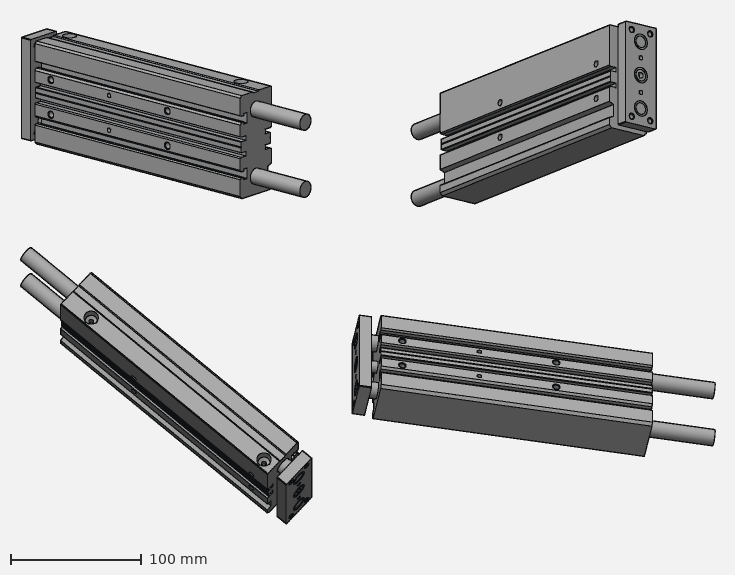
import cadquery as cq
import math


total_length = 279.0
plate_thickness = 9.5
housing_start = 16.5
housing_length = 211.5

housing_width = 36.0
housing_height = 83.0
half_width = housing_width / 2
half_height = housing_height / 2
front_top_chamfer = 1.7
back_top_chamfer = 0.7
bottom_chamfer = 2.2

t_slot_inner_edge = 19.8
t_slot_mouth = 5.0
t_slot_width = 8.5
t_slot_lip = 4.5
t_slot_depth = 7.8
lip_chamfer_depth = 1.7
inner_lip_chamfer = 1.7
outer_lip_chamfer = 0.8

sensor_pitch = 12.5
sensor_offset = sensor_pitch / 2
sensor_width = 3.5
sensor_depth = 6.7
sensor_chamfer = 0.7
sensor_chamfer_depth = 1.7
land_recess = 0.98
mark_width = 0.8
mark_depth = 0.42

back_groove_mouth = 12.8
back_groove_floor = 9.5
back_groove_depth = 4.2
top_groove_mouth = 7.5
top_groove_floor = 5.9
top_groove_depth = 0.8

cross_hole_z = 14.0
mount_hole_diameter = 4.7
mount_hole_mouth = 5.9
mount_hole_start = 33.0
mount_hole_pitch = 120.0
locating_hole_diameter = 3.3
locating_hole_depth = 4.2

port_x_places = [26.5, 203.0]
port_y = 10.5
port_mouth_diameter = 11.0
port_root_diameter = 9.2
port_thread_depth = 6.7
port_drill_diameter = 3.5
port_drill_depth = 5.5
port_cone_depth = 1.7

guide_rod_diameter = 12.8
guide_rod_pitch = 53.8
guide_rod_z = guide_rod_pitch / 2
piston_rod_diameter = 9.2
spigot_diameter = piston_rod_diameter
piston_bore_depth = 111.5
socket_diameter = 4.5
socket_depth = 4.2

plate_width = 29.9
plate_height = 81.5
plate_chamfer = 0.5
seat_diameter = 12.3
seat_depth = 0.3
corner_hole_y = 9.0
corner_hole_pitch = 70.0
corner_hole_z = corner_hole_pitch / 2
corner_hole_diameter = 4.0
corner_hole_mouth = 5.0
plate_pin_hole_diameter = 3.3
plate_pin_hole_depth = 4.2
drill_point_angle = 118

guide_rod_places = [guide_rod_z, -guide_rod_z]
rod_places = [0, *guide_rod_places]


def rod_along_x(start, length, diameter, z=0):
    """Round bar along X, centred on Y = 0."""
    return cq.Workplane("YZ", origin=(start, 0, z)).circle(diameter / 2).extrude(length)


def drilled_hole(diameter, depth, point, direction):
    """Cutter for a blind hole with a drill point, going from `point` along `direction`."""
    radius = diameter / 2
    tip = radius / math.tan(math.radians(drill_point_angle / 2))
    shaft = cq.Solid.makeCylinder(radius, depth, cq.Vector(*point), cq.Vector(*direction))
    tip_start = cq.Vector(*point) + cq.Vector(*direction) * depth
    return shaft.fuse(cq.Solid.makeCone(radius, 0, tip, tip_start, cq.Vector(*direction)))


def chamfered_hole(diameter, mouth, length, point, direction):
    """Cutter for a hole with a 45 degree chamfer at its mouth."""
    start = cq.Vector(*point)
    axis = cq.Vector(*direction)
    shaft = cq.Solid.makeCylinder(diameter / 2, length, start, axis)
    chamfer = cq.Solid.makeCone(mouth / 2, diameter / 2, (mouth - diameter) / 2, start, axis)
    return shaft.fuse(chamfer)


def housing_prism(points):
    """Straight bar with the housing's length and the given (Y, Z) outline."""
    return cq.Workplane("YZ", origin=(housing_start, 0, 0)).polyline(points).close().extrude(housing_length)


def housing_blank():
    return housing_prism([
        (-half_width, half_height - front_top_chamfer),
        (-half_width + front_top_chamfer, half_height),
        (half_width - back_top_chamfer, half_height),
        (half_width, half_height - back_top_chamfer),
        (half_width, -half_height + bottom_chamfer),
        (half_width - bottom_chamfer, -half_height),
        (-half_width + bottom_chamfer, -half_height),
        (-half_width, -half_height + bottom_chamfer),
    ])


def t_slot(side):
    """T-slot cutter in the front face, above (side = 1) or below (side = -1) the piston rod."""
    inner = t_slot_inner_edge
    outer = inner + t_slot_mouth
    overhang = (t_slot_width - t_slot_mouth) / 2
    face = -half_width
    outline = [
        (face, inner - inner_lip_chamfer),
        (face + lip_chamfer_depth, inner),
        (face + t_slot_lip, inner),
        (face + t_slot_lip, inner - overhang),
        (face + t_slot_depth, inner - overhang),
        (face + t_slot_depth, outer + overhang),
        (face + t_slot_lip, outer + overhang),
        (face + t_slot_lip, outer),
        (face + lip_chamfer_depth, outer),
        (face, outer + outer_lip_chamfer),
    ]
    return housing_prism([(y, side * z) for y, z in outline])


def sensor_groove(face_side, side):
    """Cutter for a groove with a chamfered mouth in the front (-1) or back (1) face."""
    wall = sensor_width / 2
    mouth = wall + sensor_chamfer
    outline = [
        (half_width, -mouth),
        (half_width - sensor_chamfer_depth, -wall),
        (half_width - sensor_depth, -wall),
        (half_width - sensor_depth, wall),
        (half_width - sensor_chamfer_depth, wall),
        (half_width, mouth),
    ]
    return housing_prism([(face_side * y, side * sensor_offset + z) for y, z in outline])


def centre_land(face_side):
    """Cutter that lowers the land between the sensor grooves and marks its middle."""
    face = face_side * half_width
    land = face_side * (half_width - land_recess)
    mark_bottom = face_side * (half_width - land_recess - mark_depth)
    strip = housing_prism([
        (face, -sensor_offset),
        (land, -sensor_offset),
        (land, sensor_offset),
        (face, sensor_offset),
    ])
    mark = housing_prism([(land, -mark_width / 2), (mark_bottom, 0), (land, mark_width / 2)])
    return strip.union(mark)


def back_groove():
    return housing_prism([
        (half_width, -guide_rod_z + back_groove_mouth / 2),
        (half_width - back_groove_depth, -guide_rod_z + back_groove_floor / 2),
        (half_width - back_groove_depth, -guide_rod_z - back_groove_floor / 2),
        (half_width, -guide_rod_z - back_groove_mouth / 2),
    ])


def top_groove():
    return housing_prism([
        (-top_groove_mouth / 2, half_height),
        (-top_groove_floor / 2, half_height - top_groove_depth),
        (top_groove_floor / 2, half_height - top_groove_depth),
        (top_groove_mouth / 2, half_height),
    ])


def air_port(x):
    """Tapered port cutter with a cone and a small drilled hole at its bottom."""
    centre = cq.Vector(x, port_y, half_height)
    down = cq.Vector(0, 0, -1)
    mouth_radius = port_mouth_diameter / 2
    root_radius = port_root_diameter / 2
    drill_radius = port_drill_diameter / 2
    cone_start = centre + down * port_thread_depth
    drill_start = cone_start + down * port_cone_depth
    thread = cq.Solid.makeCone(mouth_radius, root_radius, port_thread_depth, centre, down)
    cone = cq.Solid.makeCone(root_radius, drill_radius, port_cone_depth, cone_start, down)
    drill = cq.Solid.makeCylinder(drill_radius, port_drill_depth, drill_start, down)
    return thread.fuse(cone).fuse(drill)


def make_housing():
    housing = housing_blank()
    for side in (1, -1):
        housing = housing.cut(t_slot(side))
        for face_side in (1, -1):
            housing = housing.cut(sensor_groove(face_side, side))
    for face_side in (1, -1):
        housing = housing.cut(centre_land(face_side))
    housing = housing.cut(back_groove())
    housing = housing.cut(top_groove())

    for z in (cross_hole_z, -cross_hole_z):
        for x in (mount_hole_start, mount_hole_start + mount_hole_pitch):
            housing = housing.cut(cq.Workplane(chamfered_hole(
                mount_hole_diameter, mount_hole_mouth, housing_width, (x, -half_width, z), (0, 1, 0)
            )))
        middle = (mount_hole_start + mount_hole_pitch / 2, -half_width, z)
        housing = housing.cut(cq.Workplane(drilled_hole(
            locating_hole_diameter, locating_hole_depth, middle, (0, 1, 0)
        )))
    for x in port_x_places:
        housing = housing.cut(cq.Workplane(air_port(x)))

    for z in guide_rod_places:
        housing = housing.cut(rod_along_x(housing_start, housing_length, guide_rod_diameter, z))
    return housing.cut(rod_along_x(housing_start, piston_bore_depth, piston_rod_diameter))


def make_plate():
    plate = cq.Workplane("XY").box(
        plate_thickness, plate_width, plate_height, centered=(False, True, True)
    )
    plate = plate.edges("|X").chamfer(plate_chamfer)
    for z in rod_places:
        plate = plate.cut(rod_along_x(0, plate_thickness, spigot_diameter, z))
        plate = plate.cut(rod_along_x(0, seat_depth, seat_diameter, z))
    for y in (corner_hole_y, -corner_hole_y):
        for z in (corner_hole_z, -corner_hole_z):
            plate = plate.cut(cq.Workplane(chamfered_hole(
                corner_hole_diameter, corner_hole_mouth, plate_thickness, (0, y, z), (1, 0, 0)
            )))
    for z in (cross_hole_z, -cross_hole_z):
        plate = plate.cut(cq.Workplane(drilled_hole(
            plate_pin_hole_diameter, plate_pin_hole_depth, (0, 0, z), (1, 0, 0)
        )))
    return plate


def make_guide_rod(z):
    """Guide rod with a smaller spigot at its front end, held in the tool plate."""
    shaft = rod_along_x(plate_thickness, total_length - plate_thickness, guide_rod_diameter, z)
    spigot = rod_along_x(seat_depth, plate_thickness - seat_depth, spigot_diameter, z)
    return shaft.union(spigot)


def make_piston_rod():
    """Plain piston rod from the tool plate into its bore, with a socket in its front end."""
    rod = rod_along_x(seat_depth, housing_start + piston_bore_depth - seat_depth, piston_rod_diameter)
    return rod.cut(rod_along_x(seat_depth, socket_depth, socket_diameter))


housing = make_housing()
plate = make_plate()
guide_rods = [make_guide_rod(z) for z in guide_rod_places]
piston_rod = make_piston_rod()

result = cq.Compound.makeCompound([
    housing.val(),
    plate.val(),
    *[rod.val() for rod in guide_rods],
    piston_rod.val(),
])